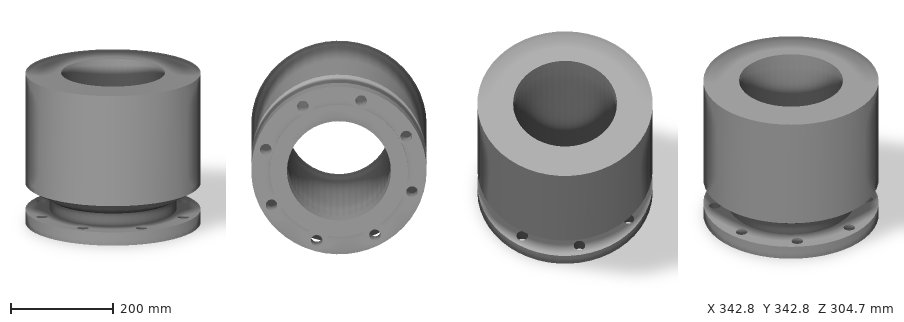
import cadquery as cq

outer_diameter = 342.8
overall_height = 304.7
bore_diameter = 203.0

face_diameter = 269.8
face_height = 1.6
flange_top = 28.5
bolt_count = 8
bolt_circle_diameter = 298.5
bolt_hole_diameter = 22.3

neck_diameter = 248.2
neck_top = 53.8
cone_top = 81.5

groove_depth = 1.0
groove_height = 1.0


def revolved_body():
    """Ring-shaped solid turned about Z, from the sealing face to the top."""
    bore_radius = bore_diameter / 2
    face_radius = face_diameter / 2
    neck_radius = neck_diameter / 2
    groove_radius = neck_radius - groove_depth
    outer_radius = outer_diameter / 2
    half_section = [
        (bore_radius, 0),
        (face_radius, 0),
        (face_radius, face_height),
        (outer_radius, face_height),
        (outer_radius, flange_top),
        (groove_radius, flange_top),
        (groove_radius, flange_top + groove_height),
        (neck_radius, flange_top + groove_height),
        (neck_radius, neck_top),
        (outer_radius, cone_top),
        (outer_radius, overall_height),
        (bore_radius, overall_height),
    ]
    return cq.Workplane("XZ").polyline(half_section).close().revolve(360, (0, 0), (0, 1))


def bolt_holes():
    """Vertical cylinders spaced evenly on the bolt circle, as tall as the flange."""
    return (
        cq.Workplane("XY")
        .polarArray(bolt_circle_diameter / 2, 0, 360, bolt_count)
        .circle(bolt_hole_diameter / 2)
        .extrude(flange_top)
    )


result = revolved_body().cut(bolt_holes())